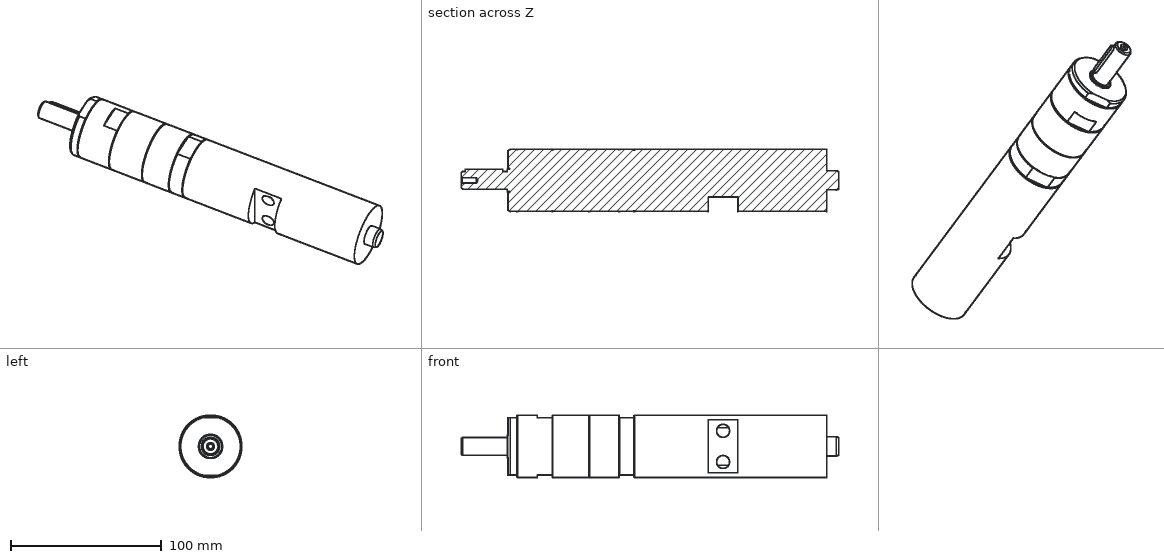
import cadquery as cq
import math

total_length = 250.2
body_diameter = 41.5
body_radius = body_diameter / 2
body_start = 31.0
body_end = 242.2

shaft_diameter = 12.0
shaft_chamfer = 1.0
collar_diameter = 14.95
collar_start = 30.4
collar_recess_diameter = 16.0
collar_recess_depth = 1.0

centre_hole_diameter = 3.24
centre_hole_depth = 10.0
countersink_diameter = 5.0
drill_tip_angle = 118.0

key_length = 25.0
key_width = 4.0
key_height = 4.0
key_top = 7.5
key_centre_x = 15.2

front_face_diameter = 39.5
front_chamfer_length = 1.4
ring_chamfer = 0.6
chamfered_ring_starts = (36.9, 60.2, 114.5)
joint_positions = (84.9, 104.8)
joint_depth = 0.3

flat_rings = (
    (body_start, chamfered_ring_starts[0]),
    (50.5, chamfered_ring_starts[1]),
    (joint_positions[1], chamfered_ring_starts[2]),
)
width_across_flats = 38.0

pocket_start = 163.7
pocket_length = 19.6
pocket_floor_y = -11.0
port_diameter = 8.57
port_spacing = 20.6
port_floor_y = 6.0
port_core_diameter = 24.8

spigot_diameter = 13.0
spigot_chamfer_length = 1.6
spigot_chamfer_height = 0.7


def cylinder(start, end, diameter):
    """Solid cylinder on the X axis."""
    return cq.Workplane("YZ", origin=(start, 0, 0)).circle(diameter / 2).extrude(end - start)


def revolve_profile(points):
    """Solid of revolution about the X axis from (x, radius) points."""
    return cq.Workplane("XY").polyline(points).close().revolve(360, (0, 0, 0), (1, 0, 0))


def make_body():
    """Plain body with a chamfered nose; each chamfered ring start leaves a small V notch."""
    profile = [
        (body_start, 0),
        (body_start, front_face_diameter / 2),
        (body_start + front_chamfer_length, body_radius),
    ]
    for start in chamfered_ring_starts:
        profile += [
            (start, body_radius),
            (start, body_radius - ring_chamfer),
            (start + ring_chamfer, body_radius),
        ]
    profile += [(body_end, body_radius), (body_end, 0)]
    return revolve_profile(profile)


def make_joint_groove(joint_x):
    """Shallow V groove around the body where two rings meet."""
    return revolve_profile([
        (joint_x - joint_depth, body_radius),
        (joint_x, body_radius - joint_depth),
        (joint_x + joint_depth, body_radius),
    ])


def make_wrench_flats(start, end):
    """Material to remove above and below one ring."""
    length = end - start
    ring = cq.Workplane("XY").box(length, body_diameter, body_diameter)
    kept = cq.Workplane("XY").box(length, body_diameter, width_across_flats)
    return ring.cut(kept).translate(((start + end) / 2, 0, 0))


def make_collar():
    """Collar standing in its recess, as (recess, collar)."""
    recess_floor = body_start + collar_recess_depth
    recess = cylinder(body_start, recess_floor, collar_recess_diameter)
    collar = cylinder(collar_start, recess_floor, collar_diameter)
    return recess, collar


def make_shaft():
    shaft = cylinder(0, body_start + collar_recess_depth, shaft_diameter)
    return shaft.faces("<X").chamfer(shaft_chamfer)


def make_centre_hole():
    hole_radius = centre_hole_diameter / 2
    countersink_radius = countersink_diameter / 2
    half_angle = math.radians(drill_tip_angle / 2)
    return revolve_profile([
        (0, 0),
        (0, countersink_radius),
        (countersink_radius - hole_radius, hole_radius),
        (centre_hole_depth, hole_radius),
        (centre_hole_depth + hole_radius / math.tan(half_angle), 0),
    ])


def make_key():
    return (
        cq.Workplane("XZ", origin=(key_centre_x, key_top, 0))
        .slot2D(key_length, key_width)
        .extrude(key_height)
    )


def make_pocket():
    depth = body_radius + pocket_floor_y
    return cq.Workplane("XY").box(
        pocket_length, depth, body_diameter, centered=(False, False, True)
    ).translate((pocket_start, -body_radius, 0))


def make_ports():
    """Two blind ports; a round core, with its axis on their floor plane, fills part of each."""
    port_x = pocket_start + pocket_length / 2
    ports = (
        cq.Workplane("XZ", origin=(port_x, port_floor_y, 0))
        .pushPoints([(0, port_spacing / 2), (0, -port_spacing / 2)])
        .circle(port_diameter / 2)
        .extrude(port_floor_y - pocket_floor_y)
    )
    core = cylinder(pocket_start, pocket_start + pocket_length, port_core_diameter)
    return ports.cut(core.translate((0, port_floor_y, 0)))


def make_spigot():
    spigot = cylinder(body_end, total_length, spigot_diameter)
    return spigot.faces(">X").edges().chamfer(spigot_chamfer_length, spigot_chamfer_height)


recess, collar = make_collar()
result = make_body()
for position in joint_positions:
    result = result.cut(make_joint_groove(position))
for ring_start, ring_end in flat_rings:
    result = result.cut(make_wrench_flats(ring_start, ring_end))
result = result.cut(make_pocket()).cut(make_ports())
result = result.cut(recess).union(collar)
result = result.union(make_shaft()).union(make_key()).cut(make_centre_hole())
result = result.union(make_spigot())